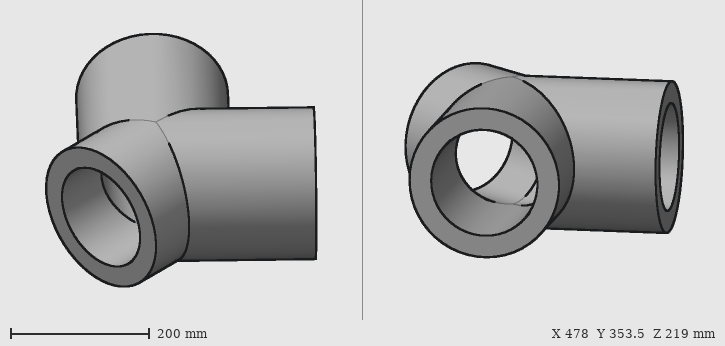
import cadquery as cq
import math

outer_diameter = 219.0
bore_diameter = 155.5
overall_width = 478.0
overall_depth = 353.5
arm_angle = 45.0

tilt = math.radians(arm_angle)
outer_radius = outer_diameter / 2
arm_length = (overall_width / 2 - outer_radius * math.cos(tilt)) / math.sin(tilt)
arm_reach = arm_length * math.cos(tilt) + outer_radius * math.sin(tilt)
stub_length = overall_depth - arm_reach


def cylinder(diameter, length, direction):
    """Solid cylinder running from the origin along a direction."""
    return cq.Workplane(
        cq.Solid.makeCylinder(diameter / 2, length, cq.Vector(0, 0, 0), direction)
    )


def branches(diameter):
    """Stub along -Y joined to two arms mirrored about the YZ plane."""
    body = cylinder(diameter, stub_length, cq.Vector(0, -1, 0))
    for side in (-1, 1):
        direction = cq.Vector(side * math.sin(tilt), math.cos(tilt), 0)
        body = body.union(cylinder(diameter, arm_length, direction))
    return body


result = branches(outer_diameter).cut(branches(bore_diameter))